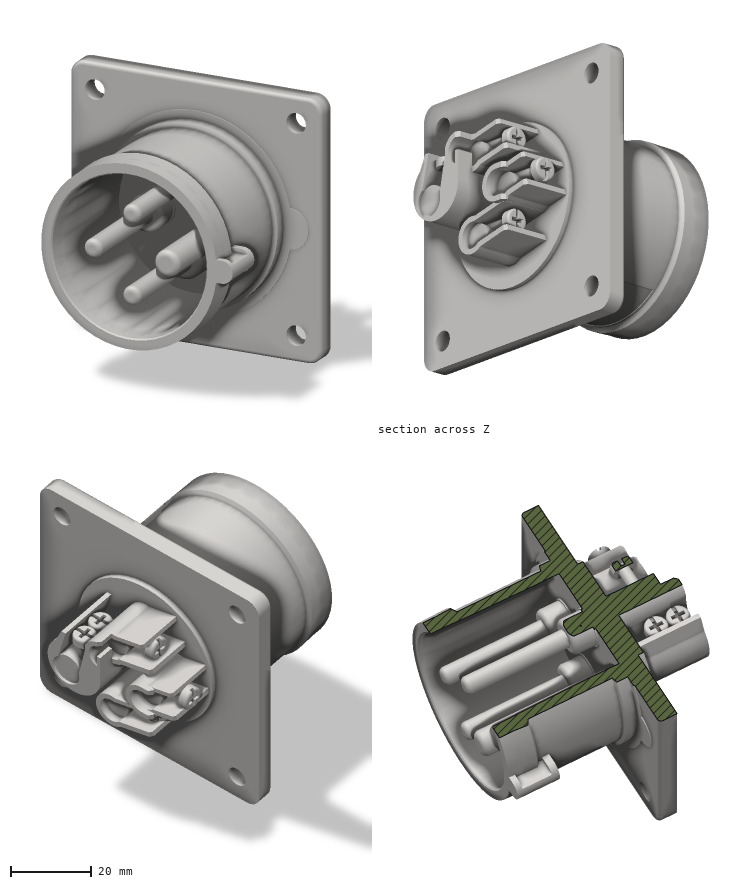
import cadquery as cq
import math

PIN_FRONT = -37.9
SHELL_FRONT = -36.8
LIP_SHOULDER = -27.8
LIP_FULL = -28.7
NECK_START = -3.85
COLLAR_END = -3.4
GASKET_FRONT = -0.3
PLATE_BACK = 5.2
DISC_BACK = 6.7
CONTACT_BACK = 18.05
TERMINAL_BACK = 20.2
RING_BACK = 21.85
HOUSING_BACK = 24.85

PLATE_SIDE = 70.0
PLATE_CORNER = 3.85
PLATE_EDGE = 1.05
HOLE_SPACING = 56.0
HOLE_DIAMETER = 5.4
DISC_RADIUS = 21.35

COLLAR_RADIUS = 49.2 / 2
NECK_RADIUS = 46.75 / 2
LIP_FRONT_RADIUS = 24.4
BORE_FLOOR_RADIUS = 21.15
BORE_RADIUS = 21.5
BORE_EDGE = 0.35
GASKET_RADIUS = 27.0

KEY_RADIUS = 3.0
KEY_X = 25.8
KEY_BACK = -24.8
KEY_BACK_WALL = 1.95
KEY_FRONT_WALL = 1.7
KEY_WEB = 3.65
GASKET_LOBE_RADIUS = 5.45
GASKET_LOBE_X = 26.05

LABEL_BACK = -6.45
LABEL_FRONT = -27.1
LABEL_TOP = -18.2
LABEL_DEPTH = 0.3

PIN_CIRCLE = 10.8
EARTH_DIAMETER = 7.0
EARTH_TIP_ROUND = 1.55
PHASE_DIAMETER = 5.0
PHASE_TIP_ROUND = 1.3
PHASE_FRONT = -36.0
BOSS_BASE_DIAMETER = 10.65
BOSS_BASE_HEIGHT = 0.7
BOSS_DIAMETER = 9.7
BOSS_ROUND = 1.3
BOSS_HEIGHT = 7.0

CONTACT_RADIUS = 3.5
RING_RADIUS = 5.0
WALL_TILT = 12.5
UPPER_WALL_Z = 4.55
UPPER_WALL_THICKNESS = 1.25
LOWER_WALL_Z = -3.0
LOWER_WALL_THICKNESS = 1.5
UPPER_REACH = 9.8
UPPER_REACH_SIDE = 8.4
UPPER_REACH_BOTTOM = 11.9
LOWER_REACH = 12.6
LOWER_REACH_SIDE = 9.3
RING_REACH = 3.0
TIP_CHAMFER = 0.9

SCREW_RADIUS = 3.1
SCREW_HEAD = 2.5
SCREW_ROUND = 0.7
SHANK_RADIUS = 1.6
SLOT_WIDTH = 1.05
SLOT_DEPTH = 1.0
CROSS_LENGTH = 3.8
CROSS_DEPTH = 1.8
SCREW_OUT = 11.3
SCREW_OFFSET = 2.3
SCREW_Y = 14.85

HOUSING_RADIUS = 8.4
HOUSING_X = 8.25
HOUSING_BOTTOM = -5.8
HOUSING_Z = HOUSING_BOTTOM + HOUSING_RADIUS
EARTH_CONTACT_RADIUS = 8.5 / 2
EARTH_CONTACT_BACK = 24.1
CHANNEL_LEFT = 4.7
CHANNEL_ROOT = 7.0
CHANNEL_RIGHT = 10.9
RIGHT_WALL_TIP_X = 12.25
RIGHT_WALL_TIP_Z = 12.6
RIGHT_WALL_OUTER_X = 14.2
RIGHT_WALL_OUTER_Z = 8.4
GUARD_THICKNESS = 1.05
EARTH_SCREW_X = 8.2
EARTH_SCREW_YS = (14.4, 20.65)


def section(y_back, x=0.0, z=0.0):
    """Sketch plane across the part; extruding runs from y_back toward the front."""
    return cq.Workplane("XZ", origin=(x, y_back, z))


def cylinder(radius, y_front, y_back, x=0.0, z=0.0):
    return section(y_back, x, z).circle(radius).extrude(y_back - y_front)


def prism(points, y_front, y_back, x=0.0, z=0.0):
    return section(y_back, x, z).polyline(points).close().extrude(y_back - y_front)


def box(x_range, y_range, z_range):
    """Box from its lower and upper limits along each axis."""
    spans = [high - low for low, high in (x_range, y_range, z_range)]
    corner = (x_range[0], y_range[0], z_range[0])
    return cq.Workplane("XY").box(*spans, centered=False).translate(corner)


def key_outline(radius, center_x, y_front, y_back):
    """Rib that runs out from the axis and ends in a half round."""
    bar = box((0, center_x), (y_front, y_back), (-radius, radius))
    return bar.union(cylinder(radius, y_front, y_back, x=center_x))


def mounting_plate():
    plate = section(PLATE_BACK).rect(PLATE_SIDE, PLATE_SIDE).extrude(PLATE_BACK)
    plate = plate.edges("|Y").fillet(PLATE_CORNER)
    plate = plate.faces("<Y").edges().fillet(PLATE_EDGE)
    holes = (
        section(PLATE_BACK)
        .rect(HOLE_SPACING, HOLE_SPACING, forConstruction=True)
        .vertices()
        .circle(HOLE_DIAMETER / 2)
        .extrude(PLATE_BACK)
    )
    gasket = cylinder(GASKET_RADIUS, GASKET_FRONT, 0)
    lobe = cylinder(GASKET_LOBE_RADIUS, GASKET_FRONT, 0, x=GASKET_LOBE_X)
    disc = cylinder(DISC_RADIUS, PLATE_BACK, DISC_BACK)
    return plate.cut(holes).union(gasket).union(lobe).union(disc)


def shroud_outside():
    profile = [
        (0, 0),
        (COLLAR_RADIUS, 0),
        (COLLAR_RADIUS, COLLAR_END),
        (NECK_RADIUS, NECK_START),
        (NECK_RADIUS, LIP_SHOULDER),
        (COLLAR_RADIUS, LIP_FULL),
        (LIP_FRONT_RADIUS, SHELL_FRONT),
        (0, SHELL_FRONT),
    ]
    return cq.Workplane("XY").polyline(profile).close().revolve(360, (0, 0), (0, 1))


def shroud_bore():
    profile = [
        (0, 0),
        (BORE_FLOOR_RADIUS, 0),
        (BORE_RADIUS, SHELL_FRONT + BORE_EDGE),
        (BORE_RADIUS + BORE_EDGE, SHELL_FRONT),
        (0, SHELL_FRONT),
    ]
    return cq.Workplane("XY").polyline(profile).close().revolve(360, (0, 0), (0, 1))


def key_rib():
    rib = key_outline(KEY_RADIUS, KEY_X, SHELL_FRONT, KEY_BACK)
    pocket_y = (SHELL_FRONT + KEY_FRONT_WALL, KEY_BACK - KEY_BACK_WALL)
    pocket_x = (0, KEY_X + KEY_RADIUS)
    rib = rib.cut(box(pocket_x, pocket_y, (KEY_WEB / 2, KEY_RADIUS)))
    return rib.cut(box(pocket_x, pocket_y, (-KEY_RADIUS, -KEY_WEB / 2)))


def label_recess():
    band = cylinder(NECK_RADIUS, LABEL_FRONT, LABEL_BACK)
    band = band.cut(cylinder(NECK_RADIUS - LABEL_DEPTH, LABEL_FRONT, LABEL_BACK))
    limits = box(
        (-NECK_RADIUS, NECK_RADIUS), (LABEL_FRONT, LABEL_BACK), (-NECK_RADIUS, LABEL_TOP)
    )
    return band.intersect(limits)


def shroud():
    outside = shroud_outside().cut(label_recess()).union(key_rib())
    return outside.cut(shroud_bore())


def phase_pin(x, z):
    pin = cylinder(PHASE_DIAMETER / 2, PHASE_FRONT, 0, x, z)
    pin = pin.faces("<Y").edges().fillet(PHASE_TIP_ROUND)
    boss = cylinder(BOSS_DIAMETER / 2, -BOSS_HEIGHT, 0, x, z)
    boss = boss.faces("<Y").edges().fillet(BOSS_ROUND)
    base = cylinder(BOSS_BASE_DIAMETER / 2, -BOSS_BASE_HEIGHT, 0, x, z)
    return pin.union(boss).union(base)


def earth_pin():
    pin = cylinder(EARTH_DIAMETER / 2, PIN_FRONT, 0, x=PIN_CIRCLE)
    return pin.faces("<Y").edges().fillet(EARTH_TIP_ROUND)


def screw(reach):
    """Screw along +Z: its head ends at Z = SCREW_OUT and its shank goes down to `reach`."""
    head_bottom = SCREW_OUT - SCREW_HEAD
    head = cq.Workplane("XY", origin=(0, 0, head_bottom)).circle(SCREW_RADIUS).extrude(SCREW_HEAD)
    head = head.faces(">Z").edges().fillet(SCREW_ROUND)
    half_slot = SLOT_WIDTH / 2
    half_cross = CROSS_LENGTH / 2
    slot_span = (-half_slot, half_slot)
    cross_span = (-half_cross, half_cross)
    cross_z = (SCREW_OUT - CROSS_DEPTH, SCREW_OUT)
    head = head.cut(
        box((-SCREW_RADIUS, SCREW_RADIUS), slot_span, (SCREW_OUT - SLOT_DEPTH, SCREW_OUT))
    )
    head = head.cut(box(cross_span, slot_span, cross_z))
    head = head.cut(box(slot_span, cross_span, cross_z))
    shank = cq.Workplane("XY", origin=(0, 0, reach)).circle(SHANK_RADIUS)
    return head.union(shank.extrude(head_bottom - reach))


def tip_corner(x, y_back, z_low, z_high):
    """Wedge that bevels the rear corner of a wall tip standing at x."""
    return (
        cq.Workplane("XY", origin=(x, y_back, z_low))
        .polyline([(0, 0), (TIP_CHAMFER, 0), (0, -TIP_CHAMFER)])
        .close()
        .extrude(z_high - z_low)
    )


def tilted_wall(reach, z_at_pin, thickness):
    """Flat wall that runs from above or below the pin axis toward -X, rising on the way."""
    tilt = math.radians(WALL_TILT)
    tip_z = z_at_pin + reach * math.tan(tilt)
    low_x = -reach - thickness * math.sin(tilt)
    low_z = tip_z - thickness * math.cos(tilt)
    outline = [
        (0, z_at_pin),
        (-reach, tip_z),
        (low_x, low_z),
        (0, z_at_pin - thickness / math.cos(tilt)),
    ]
    wall = prism(outline, PLATE_BACK, TERMINAL_BACK)
    return wall.cut(tip_corner(low_x, TERMINAL_BACK, low_z - thickness, tip_z + thickness))


def phase_terminal(x, z, upper_reach, lower_reach):
    """Open-sided terminal: a round shell with two walls and a screw facing -X."""
    shell = cylinder(RING_RADIUS, PLATE_BACK, TERMINAL_BACK)
    rise = RING_RADIUS * math.tan(math.radians(WALL_TILT))
    channel = prism(
        [
            (0, UPPER_WALL_Z),
            (-RING_RADIUS, UPPER_WALL_Z + rise),
            (-RING_RADIUS, LOWER_WALL_Z + rise),
            (0, LOWER_WALL_Z),
        ],
        DISC_BACK,
        TERMINAL_BACK,
    )
    upper_wall = tilted_wall(upper_reach, UPPER_WALL_Z, UPPER_WALL_THICKNESS)
    lower_wall = tilted_wall(lower_reach, LOWER_WALL_Z, LOWER_WALL_THICKNESS)
    socket = cylinder(CONTACT_RADIUS, CONTACT_BACK, TERMINAL_BACK)
    contact = cylinder(CONTACT_RADIUS, PLATE_BACK, CONTACT_BACK)
    side_screw = screw(0).rotate((0, 0, 0), (0, 1, 0), -90)
    side_screw = side_screw.translate((0, SCREW_Y, SCREW_OFFSET))
    terminal = shell.cut(channel).union(upper_wall).union(lower_wall).cut(socket)
    return terminal.union(contact).union(side_screw).translate((x, 0, z))


def pin_guard(y_front, y_back, reach):
    """U-shaped guard behind a pin: a half tube whose legs run `reach` toward -X."""
    guard = cylinder(RING_RADIUS, y_front, y_back)
    guard = guard.intersect(box((0, RING_RADIUS), (y_front, y_back), (-RING_RADIUS, RING_RADIUS)))
    if reach > 0:
        guard = guard.union(box((-reach, 0), (y_front, y_back), (-RING_RADIUS, RING_RADIUS)))
        guard = guard.cut(box((-reach, 0), (y_front, y_back), (-CONTACT_RADIUS, CONTACT_RADIUS)))
    guard = guard.cut(cylinder(CONTACT_RADIUS, y_front, y_back))
    return guard.cut(tip_corner(-reach, y_back, -2 * RING_RADIUS, 2 * RING_RADIUS))


def earth_housing():
    """Tall round housing with a flat -X side and a channel that opens upward."""
    left = HOUSING_X - HOUSING_RADIUS
    socket_z = (HOUSING_Z, PIN_CIRCLE)
    tall = cylinder(HOUSING_RADIUS, PLATE_BACK, HOUSING_BACK, HOUSING_X, HOUSING_Z)
    left_wall = box((left, CHANNEL_LEFT), (PLATE_BACK, HOUSING_BACK), socket_z)
    socket = cylinder(CONTACT_RADIUS, CONTACT_BACK, HOUSING_BACK, z=PIN_CIRCLE)
    socket_guard = box((left, left + GUARD_THICKNESS), (TERMINAL_BACK, HOUSING_BACK), socket_z)
    channel = prism(
        [
            (CHANNEL_LEFT, PIN_CIRCLE + RING_RADIUS),
            (CHANNEL_LEFT, PIN_CIRCLE),
            (CHANNEL_ROOT, 0),
            (RIGHT_WALL_OUTER_X, 0),
            (RIGHT_WALL_OUTER_X, RIGHT_WALL_OUTER_Z),
            (RIGHT_WALL_TIP_X, RIGHT_WALL_TIP_Z),
        ],
        DISC_BACK,
        HOUSING_BACK,
    )
    right_wall = prism(
        [
            (CHANNEL_RIGHT, RIGHT_WALL_TIP_Z),
            (RIGHT_WALL_TIP_X, RIGHT_WALL_TIP_Z),
            (RIGHT_WALL_OUTER_X, RIGHT_WALL_OUTER_Z),
            (RIGHT_WALL_OUTER_X, 0),
        ],
        PLATE_BACK,
        HOUSING_BACK,
    )
    contact = cylinder(EARTH_CONTACT_RADIUS, PLATE_BACK, EARTH_CONTACT_BACK, x=PIN_CIRCLE)
    contact_recess = cylinder(
        EARTH_CONTACT_RADIUS, EARTH_CONTACT_BACK, HOUSING_BACK, x=PIN_CIRCLE
    )
    top_guard = pin_guard(CONTACT_BACK, HOUSING_BACK, 0).translate((0, 0, PIN_CIRCLE))
    housing = tall.union(left_wall).cut(socket).union(top_guard).union(socket_guard)
    housing = housing.cut(channel).union(right_wall).cut(contact_recess).union(contact)
    for y in EARTH_SCREW_YS:
        housing = housing.union(screw(0).translate((EARTH_SCREW_X, y, 0)))
    return housing


PHASES = [
    (0, PIN_CIRCLE, UPPER_REACH, LOWER_REACH),
    (-PIN_CIRCLE, 0, UPPER_REACH_SIDE, LOWER_REACH_SIDE),
    (0, -PIN_CIRCLE, UPPER_REACH_BOTTOM, LOWER_REACH),
]

side_guard = pin_guard(TERMINAL_BACK, RING_BACK, RING_REACH).translate((-PIN_CIRCLE, 0, 0))

result = mounting_plate().union(shroud()).union(earth_pin()).union(earth_housing())
for pin_x, pin_z, upper_reach, lower_reach in PHASES:
    result = result.union(phase_pin(pin_x, pin_z))
    result = result.union(phase_terminal(pin_x, pin_z, upper_reach, lower_reach))
result = result.union(side_guard)